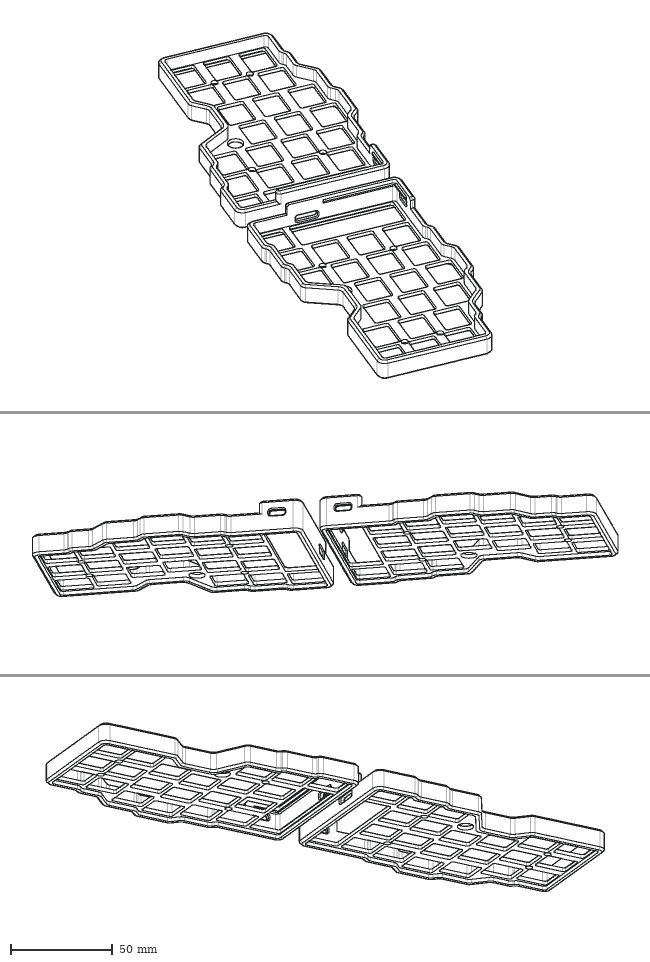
import cadquery as cq

total_width = 284.6
half_gap = 4.3
wall_height = 11.0
raised_height = 17.0
wall_thickness = 3.0
plate_top_z = 4.0
plate_thickness = 2.0
plate_bottom_z = plate_top_z - plate_thickness
edge_chamfer = 1.2

key_pitch = 19.0
key_opening_width = 17.0
key_opening_length = 14.0
key_opening_radius = 1.2
side_margin = 12.0
end_margin = 11.71
main_column_stagger = 2.375

inner_x = -half_gap
outer_x = -total_width / 2
column_x = [outer_x + side_margin + key_pitch * index for index in range(7)]

first_key_y = [19.2, 21.4, 29.5, 33.1, 28.575, 26.2, 26.2]
key_rows = [3, 3, 3, 3, 4, 4]
front_key_y = first_key_y[5] - 3 * key_pitch - main_column_stagger
long_opening_back_y = first_key_y[6] + key_opening_length / 2
long_opening_front_y = -22.8

corner_radius = 4.2
inner_corner_radius = 1.6
bend_radius = 3.0
thumb_edge_y = -23.1
thumb_left_x = -92.8
thumb_right_x = -75.7
thumb_slope_end_x = -65.9
back_slope_x = -111.4

screw_diameter = 3.5
large_hole_diameter = 8.0
large_hole_center = (-68.6, -18.9)

raised_width = 21.5
raised_end_radius = 1.7
raised_front_y = -23.5
raised_left_x = inner_x - raised_width

ridge_height = 2.0
ridge_depth = 0.8
ridge_flank = 0.6
ridge_center_z = 14.0
ridge_left_x = -21.0
ridge_front_y = -4.0

back_window_width = 8.0
back_window_height = 3.0
back_window_center = (-16.7, 10.4)
side_window_width = 11.8
side_window_height = 3.4
side_window_center = (-12.7, 7.2)
window_radius = 1.2
window_chamfer = 0.6


def back_edge(column):
    return first_key_y[column] + end_margin


def front_edge(column):
    return first_key_y[column] - (key_rows[column] - 1) * key_pitch - end_margin


def slanted_step(middle_x, start_y, end_y):
    """Two points of a 45 degree step centred on middle_x, listed from left to right."""
    half_run = abs(end_y - start_y) / 2
    return [(middle_x - half_run, start_y), (middle_x + half_run, end_y)]


def outline_points():
    back_y = back_edge(6)
    front_y = front_key_y - end_margin
    back_slope_rise = back_edge(2) - back_edge(1)
    thumb_slope_run = thumb_edge_y - front_edge(0)
    back = [(outer_x, back_edge(0))]
    back += slanted_step(column_x[1] - side_margin, back_edge(0), back_edge(1))
    back += [(back_slope_x, back_edge(1)), (back_slope_x + back_slope_rise, back_edge(2))]
    back += slanted_step(column_x[3] - side_margin, back_edge(2), back_edge(3))
    back += slanted_step(column_x[3] + side_margin, back_edge(3), back_edge(4))
    back += slanted_step(column_x[4] + side_margin, back_edge(4), back_y)
    back += [(inner_x, back_y)]
    front = [(outer_x, front_edge(0)), (thumb_left_x - thumb_slope_run, front_edge(0))]
    front += [(thumb_left_x, thumb_edge_y), (thumb_right_x, thumb_edge_y)]
    front += [(thumb_slope_end_x, front_edge(4))]
    front += slanted_step(column_x[5] - side_margin, front_edge(4), front_edge(5))
    front += slanted_step(column_x[6] - side_margin, front_edge(5), front_y)
    front += [(inner_x, front_y)]
    return back + front[::-1]


def outline_prism(inset, height, main_radius):
    """Case outline moved inward by inset, with the two ends rounded apart from the bends."""
    wire = cq.Workplane("XY").polyline(outline_points()).close()
    if inset:
        wire = wire.offset2D(-inset, "intersection")
    prism = wire.extrude(height)
    prism = prism.edges("|Z and (not (<X or >X))").fillet(bend_radius)
    return prism.edges("|Z and (<X or >X)").fillet(main_radius)


def raised_block():
    """Solid block of the taller corner, before the tray interior is removed."""
    block_length = back_edge(6) - raised_front_y
    corner = (
        cq.Workplane("XY")
        .box(raised_width, block_length, raised_height, centered=False)
        .translate((raised_left_x, raised_front_y, 0))
    )
    corner = corner.edges("|Z and >X and >Y").fillet(corner_radius)
    corner = corner.edges("|Z and ((<X and >Y) or (>X and <Y))").fillet(raised_end_radius)
    corner = corner.faces(">Z").edges().chamfer(edge_chamfer)
    low_part = cq.Workplane("XY").box(2 * total_width, 2 * total_width, wall_height, centered=(True, True, False))
    return corner.cut(low_part.translate((0, 0, -edge_chamfer)))


def key_openings():
    centers = []
    for x, y, rows in zip(column_x, first_key_y, key_rows):
        centers += [(x, y - row * key_pitch) for row in range(rows)]
    centers.append((column_x[6], front_key_y))
    openings = (
        cq.Workplane("XY")
        .pushPoints(centers)
        .rect(key_opening_width, key_opening_length)
        .extrude(plate_top_z)
    )
    long_length = long_opening_back_y - long_opening_front_y
    long_opening = (
        cq.Workplane("XY")
        .center(column_x[6], (long_opening_back_y + long_opening_front_y) / 2)
        .rect(key_opening_width, long_length)
        .extrude(plate_top_z)
    )
    return openings.add(long_opening).combine().edges("|Z").fillet(key_opening_radius)


def screw_centers():
    """Screws sit between two columns, halfway between the gaps of their keys."""
    centers = []
    for left_column, gaps in ((0, (0, 1)), (4, (0, 2))):
        x = column_x[left_column] + key_pitch / 2
        mean_y = (first_key_y[left_column] + first_key_y[left_column + 1]) / 2
        centers += [(x, mean_y - (gap + 0.5) * key_pitch) for gap in gaps]
    return centers


def floor_holes():
    screws = cq.Workplane("XY").pushPoints(screw_centers()).circle(screw_diameter / 2).extrude(plate_top_z)
    large = cq.Workplane("XY").center(*large_hole_center).circle(large_hole_diameter / 2).extrude(plate_top_z)
    return screws.add(large)


def snap_ridge():
    """Ridge with sloping flanks along the back wall and the inner side wall."""
    foot = ridge_height / 2
    crest = foot - ridge_flank
    inner_y = back_edge(6) - wall_thickness
    inner_face_x = inner_x - wall_thickness
    root = wall_thickness / 2
    points = [(root, foot), (0, foot), (-ridge_depth, crest)]
    points += [(y, -z) for y, z in points[::-1]]

    def profile(plane):
        return cq.Workplane(plane).polyline(points).close()

    along_back = profile("YZ").extrude(inner_face_x - ridge_left_x)
    along_back = along_back.translate((ridge_left_x, inner_y, ridge_center_z))
    along_side = profile("XZ").extrude(inner_y - ridge_front_y)
    along_side = along_side.translate((inner_face_x, inner_y, ridge_center_z))
    return along_back.union(along_side)


def window_cutter(width, height):
    """Rounded opening along Y through a wall centred on the origin, flared by a chamfer at both faces."""
    mouth_width = width + 2 * window_chamfer
    mouth_height = height + 2 * window_chamfer
    passage = cq.Workplane("XY").box(width, wall_thickness, height).edges("|Y").fillet(window_radius)
    mouth = cq.Workplane("XY").box(mouth_width, wall_thickness, mouth_height)
    mouth = mouth.edges("|Y").fillet(window_radius + window_chamfer)
    flare = mouth.faces("<Y").edges().chamfer(window_chamfer)
    flare = flare.translate((0, wall_thickness - window_chamfer, 0))
    return passage.union(flare).union(flare.mirror("XZ"))


def back_window():
    x, z = back_window_center
    cutter = window_cutter(back_window_width, back_window_height)
    return cutter.translate((x, back_edge(6) - wall_thickness / 2, z))


def side_window():
    y, z = side_window_center
    cutter = window_cutter(side_window_width, side_window_height).rotate((0, 0, 0), (0, 0, 1), 90)
    return cutter.translate((inner_x - wall_thickness / 2, y, z))


def left_case():
    tray = outline_prism(0, wall_height, corner_radius).faces("<Z or >Z").edges().chamfer(edge_chamfer)
    tray = tray.union(raised_block())
    interior = outline_prism(wall_thickness, raised_height, inner_corner_radius)
    tray = tray.cut(interior.translate((0, 0, plate_top_z)))
    tray = tray.cut(outline_prism(wall_thickness, plate_bottom_z, inner_corner_radius))
    tray = tray.union(snap_ridge())
    tray = tray.cut(back_window()).cut(side_window())
    for cutter in key_openings().vals() + floor_holes().vals():
        tray = tray.cut(cq.Workplane(cutter))
    return tray


left_half = left_case()
right_half = left_half.mirror("YZ")
result = cq.Compound.makeCompound([left_half.val(), right_half.val()])